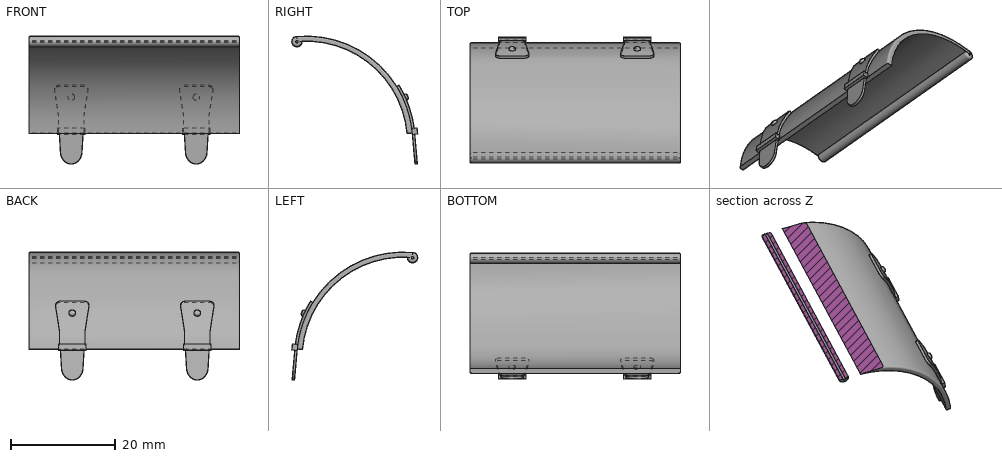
import cadquery as cq
import math


LENGTH = 40.4
THICKNESS = 1.0
OUTER_RADIUS = 20.37
INNER_RADIUS = OUTER_RADIUS - THICKNESS
ARC_START = 5.0
ARC_END = 95.0
END_FILLET = 0.4

ARC_CENTRE_Y = -OUTER_RADIUS * math.cos(math.radians(ARC_END))
ARC_CENTRE_Z = THICKNESS - OUTER_RADIUS * math.sin(math.radians(ARC_END))

BARREL_RADIUS = 1.0
PIN_HOLE_DIAMETER = 0.4

CLIP_SPACING = 23.95
CLIP_PAIR_CENTRE_X = -0.1
TONGUE_TILT = ARC_START
SHEET = 0.5
SHEET_OUTER_RADIUS = OUTER_RADIUS + SHEET

COLLAR_TILT = 5.9
COLLAR_WIDTH = 5.3
COLLAR_DEPTH = 1.05
COLLAR_OUTER_RADIUS = OUTER_RADIUS + COLLAR_DEPTH
COLLAR_HEIGHT = 1.2

TONGUE_TOP_WIDTH = 4.6
TONGUE_LOW_WIDTH = 4.2
TONGUE_TAPER_END = 3.45
TONGUE_REACH = 5.97

RIVET_ANGLE = 24.5
RIVET_RADIUS = 0.65
RIVET_HEIGHT = 0.5
RIVET_FILLET = 0.45
PLATE_NECK_WIDTH = 4.85
PLATE_END_WIDTH = 6.7
PLATE_END = 2.6
PLATE_FLARE_START = -3.7
PLATE_CORNER_RADIUS = 0.9


def arc_point(radius, angle):
    """Point (Y, Z) at a radius and an angle in degrees about the arc centre."""
    _, outward_y, outward_z = arc_direction(angle)
    return ARC_CENTRE_Y + radius * outward_y, ARC_CENTRE_Z + radius * outward_z


def arc_direction(angle):
    """Unit vector (X, Y, Z) pointing outwards from the arc centre."""
    turn = math.radians(angle)
    return 0, math.cos(turn), math.sin(turn)


def ring_sector(inner_radius, outer_radius, start, end, width, x):
    """Curved sheet about the arc centre, between two angles, starting at x and running along X."""
    middle = (start + end) / 2
    return (
        cq.Workplane("YZ", origin=(x, 0, 0))
        .moveTo(*arc_point(inner_radius, start))
        .lineTo(*arc_point(outer_radius, start))
        .threePointArc(arc_point(outer_radius, middle), arc_point(outer_radius, end))
        .lineTo(*arc_point(inner_radius, end))
        .threePointArc(arc_point(inner_radius, middle), arc_point(inner_radius, start))
        .close()
        .extrude(width)
    )


def radial_plane(angle, radius, x):
    """Plane facing radially outwards: local x runs along X, local y along the rising tangent."""
    y, z = arc_point(radius, angle)
    return cq.Plane(origin=(x, y, z), xDir=(-1, 0, 0), normal=arc_direction(angle))


def make_cover():
    cover = ring_sector(INNER_RADIUS, OUTER_RADIUS, ARC_START, ARC_END, LENGTH, -LENGTH / 2)
    outer_middle = arc_point(OUTER_RADIUS, (ARC_START + ARC_END) / 2)
    outer_face = cq.selectors.NearestToPointSelector((0, *outer_middle))
    return cover.faces(outer_face).edges("%CIRCLE").fillet(END_FILLET)


def make_barrel():
    return (
        cq.Workplane("YZ", origin=(-LENGTH / 2, 0, 0))
        .circle(BARREL_RADIUS)
        .extrude(LENGTH)
        .faces("<X or >X")
        .edges()
        .fillet(END_FILLET)
    )


def make_pin_hole():
    return (
        cq.Workplane("YZ", origin=(-LENGTH / 2, 0, 0)).circle(PIN_HOLE_DIAMETER / 2).extrude(LENGTH)
    )


def make_collar(x):
    return (
        cq.Workplane(radial_plane(COLLAR_TILT, COLLAR_OUTER_RADIUS, x))
        .rect(COLLAR_WIDTH, COLLAR_HEIGHT)
        .extrude(-COLLAR_DEPTH)
    )


def make_tongue(x):
    """Tapering blade that ends in a half ellipse."""
    plane = radial_plane(TONGUE_TILT, OUTER_RADIUS, x)
    blade = (
        cq.Workplane(plane)
        .moveTo(-TONGUE_TOP_WIDTH / 2, 0)
        .lineTo(TONGUE_TOP_WIDTH / 2, 0)
        .lineTo(TONGUE_LOW_WIDTH / 2, -TONGUE_TAPER_END)
        .lineTo(-TONGUE_LOW_WIDTH / 2, -TONGUE_TAPER_END)
        .close()
        .extrude(SHEET)
    )
    tip = (
        cq.Workplane(plane)
        .center(0, -TONGUE_TAPER_END)
        .ellipse(TONGUE_LOW_WIDTH / 2, TONGUE_REACH - TONGUE_TAPER_END)
        .extrude(SHEET)
    )
    return blade.union(tip)


def make_plate(x):
    """Flared plate that hugs the cover, cut from a curved sheet along the rivet's direction."""
    sheet = ring_sector(
        OUTER_RADIUS,
        SHEET_OUTER_RADIUS,
        TONGUE_TILT,
        2 * RIVET_ANGLE,
        PLATE_END_WIDTH,
        x - PLATE_END_WIDTH / 2,
    )
    neck = PLATE_NECK_WIDTH / 2
    end = PLATE_END_WIDTH / 2
    neck_bottom = -SHEET_OUTER_RADIUS * math.sin(math.radians(RIVET_ANGLE - TONGUE_TILT))
    cutter_reach = PLATE_END_WIDTH
    rivet_plane = radial_plane(RIVET_ANGLE, SHEET_OUTER_RADIUS, x)
    outline = (
        cq.Workplane(rivet_plane)
        .polyline(
            [
                (-neck, neck_bottom),
                (neck, neck_bottom),
                (neck, PLATE_FLARE_START),
                (end, PLATE_END),
                (-end, PLATE_END),
                (-neck, PLATE_FLARE_START),
            ]
        )
        .close()
        .extrude(cutter_reach, both=True)
    )
    for corner_x in (-end, end):
        corner = rivet_plane.toWorldCoords((corner_x, PLATE_END))
        corner_edge = cq.selectors.NearestToPointSelector(corner.toTuple())
        outline = outline.edges(corner_edge).fillet(PLATE_CORNER_RADIUS)
    return sheet.intersect(outline)


def make_rivet(x):
    """Rivet head with a rounded rim, rooted inside the plate."""
    return (
        cq.Workplane(radial_plane(RIVET_ANGLE, SHEET_OUTER_RADIUS + RIVET_HEIGHT, x))
        .circle(RIVET_RADIUS)
        .extrude(-RIVET_HEIGHT - SHEET / 2)
        .faces(cq.selectors.DirectionMinMaxSelector(cq.Vector(*arc_direction(RIVET_ANGLE)), True))
        .edges()
        .fillet(RIVET_FILLET)
    )


result = make_cover().union(make_barrel()).cut(make_pin_hole())
for side in (-1, 1):
    clip_x = CLIP_PAIR_CENTRE_X + side * CLIP_SPACING / 2
    for make_feature in (make_collar, make_tongue, make_plate, make_rivet):
        result = result.union(make_feature(clip_x))